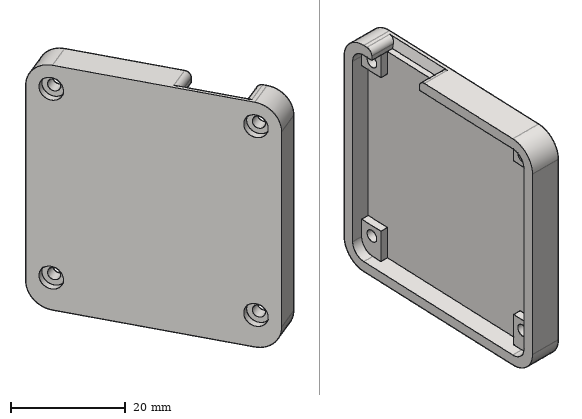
import cadquery as cq

width = 47.5
depth = 6.25
height = 49.25
corner_radius = 4.95
wall = 2.15
floor = 2.5

hole_pitch = 37.95
hole_top_margin = 4.8
hole_diameter = 2.4
counterbore_diameter = 4.55
counterbore_depth = 1.5
post_height = 4.1
post_margin = counterbore_diameter / 2

notch_left = 4.75
notch_right = 16.75
notch_lip_height = 0.75
notch_sill_height = 1.3
notch_round = 1.25

overlap = 0.5
inner_width = width - 2 * wall
inner_height = height - 2 * wall
hole_x = hole_pitch / 2
hole_top_z = height / 2 - hole_top_margin
hole_bottom_z = hole_top_z - hole_pitch
hole_centres = [(x, z) for x in (-hole_x, hole_x) for z in (hole_bottom_z, hole_top_z)]


def box(x0, x1, y0, y1, z0, z1):
    """Box spanning the given limits."""
    return cq.Workplane("XY").box(x1 - x0, y1 - y0, z1 - z0, centered=False).translate((x0, y0, z0))


def rounded_plate(size_x, size_z, radius, y0, y1):
    """Plate in XZ with rounded corners, from y0 to y1."""
    plate = cq.Workplane("XZ", origin=(0, y0, 0)).rect(size_x, size_z).extrude(y0 - y1)
    return plate.edges("|Y").fillet(radius)


def make_posts():
    """Posts filling the four corners around the screw holes."""
    edge_x = width / 2
    edge_z = height / 2
    post_inner_x = hole_x - post_margin
    lower_post_top_z = hole_bottom_z + post_margin
    posts = cq.Workplane("XY")
    for x0, x1 in ((-edge_x, -post_inner_x), (post_inner_x, edge_x)):
        for z0, z1 in ((-edge_z, lower_post_top_z), (hole_top_z - post_margin, edge_z)):
            posts = posts.union(box(x0, x1, 0, post_height, z0, z1))
    return posts


def make_notch():
    """Opening with rounded outer side edges and a sill sloping up to a step below the floor."""
    outer_z = height / 2
    inner_z = outer_z - wall
    round_z = outer_z - notch_round
    left = notch_left
    right = notch_right
    diagonal = notch_round * 0.5 ** 0.5
    profile = (
        cq.Workplane("XZ")
        .moveTo(left, inner_z)
        .lineTo(left, round_z)
        .threePointArc((left - notch_round + diagonal, round_z + diagonal), (left - notch_round, outer_z))
        .lineTo(left - notch_round, outer_z + overlap)
        .lineTo(right + notch_round, outer_z + overlap)
        .lineTo(right + notch_round, outer_z)
        .threePointArc((right + notch_round - diagonal, round_z + diagonal), (right, round_z))
        .lineTo(right, inner_z)
        .close()
        .extrude(-depth - overlap)
    )
    sill = (
        cq.Workplane("YZ", origin=(-width / 2, 0, 0))
        .moveTo(notch_sill_height, inner_z)
        .lineTo(notch_lip_height, outer_z)
        .lineTo(notch_lip_height, outer_z + overlap)
        .lineTo(depth + overlap, outer_z + overlap)
        .lineTo(depth + overlap, inner_z)
        .close()
        .extrude(width)
    )
    return profile.intersect(sill)


def make_screw_holes():
    """Through holes counterbored from the -Y face."""
    face = cq.Workplane("XZ").pushPoints(hole_centres)
    holes = face.circle(hole_diameter / 2).extrude(-depth)
    counterbores = face.circle(counterbore_diameter / 2).extrude(-counterbore_depth)
    return holes.union(counterbores)


body = rounded_plate(width, height, corner_radius, 0, depth)
cavity = rounded_plate(inner_width, inner_height, corner_radius - wall, floor, depth + overlap)
result = body.cut(cavity.cut(make_posts())).cut(make_notch()).cut(make_screw_holes())